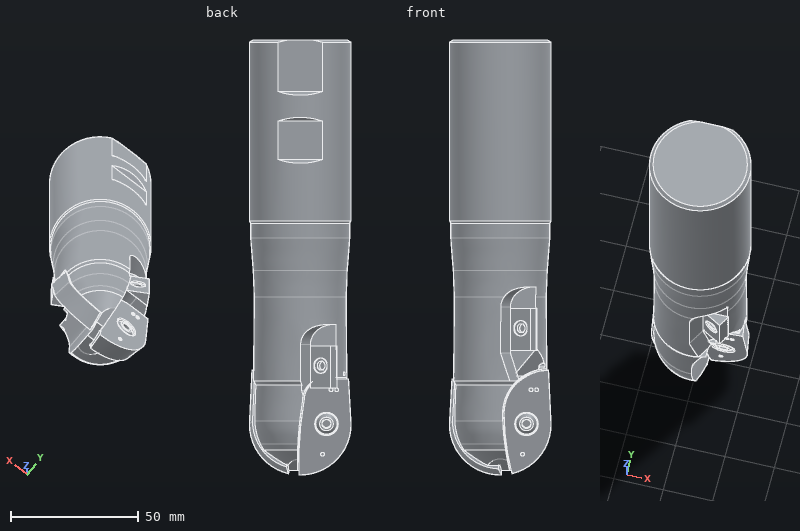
import cadquery as cq
import math


total_length = 170.98
shank_radius = 39.99 / 2
shank_end_radius = 37 / 2
shank_end_chamfer = 1.0
collar_radius = 39 / 2
shank_bottom_z = 99.9
collar_top_z = 98.9
collar_bottom_z = 93.2
taper_z = 80.3
taper_radius = 18.5
waist_z = 70.0
waist_radius = 18.1
neck_bottom_z = 37.0
neck_radius = 18.4
step_z = 35.5
step_radius = 17.5
nose_radius = 18.3
nose_top_z = 21.3
nose_side_arc_radius = 25.0
nose_side_bottom_z = 12.3
nose_cone_top_z = 9.9
nose_cone_top_radius = 15.5
nose_flat_radius = 6.0
nose_flat_z = 1.8
nose_relief_angle = 29.5
nose_relief_start_y = 3.3

flat_y = 18.0
flat_ramp = 1.5
end_flat_bottom_z = 150.7
lower_flat_top_z = 139.0
lower_flat_bottom_z = 124.0

cutting_radius = shank_radius
rake_angle = 9.0
rake_offset_y = 0.5
insert_thickness = 7.8
insert_relief = 9.0
insert_inner_x = 1.5
insert_inner_bulge = 0.7
insert_top_outer_x = 19.0
seat_clearance = 0.6
outer_insert = {"tip_x": 4.6, "top_z": 41.2, "arc_start_z": 24.0}
center_insert = {"tip_x": -0.5, "top_z": 37.8, "arc_start_z": 29.3}
mark_diameter = 1.5
mark_depth = 0.3
mark_places = [(8.75, 8.2), (12.1, 33.5), (14.3, 33.5)]

screw_x = 10.3
screw_z = 20.1
head_diameter = 8.45
head_top_diameter = 5.35
head_rim_depth = 1.2
head_depth = 4.0
screw_diameter = 6.0
screw_length = 15.0
socket_diameter = 3.5
socket_depth = 2.0
hole_chamfer = 0.4

pocket_floor_y = -11.6
pocket_lean = 30.0
pocket_wall_x = 4.0
pocket_top_z = 73.9
pocket_arc_bottom_z = 66.0
pocket_wall_bottom_z = 48.0
pocket_bottom_z = 37.0
pocket_bottom_shift = 3.0
center_pocket_drop = 14.7
wedge_outer_x = 11.8
wedge_bottom_z = 48.9
wedge_top_z = 65.4
wedge_hole_z = 57.7
wedge_recess_diameter = 6.0
wedge_recess_depth = 0.6
wedge_hole_diameter = 3.5
wedge_hole_depth = 2.5

runout_floor_line = [(5.2, 39.0), (13.9, 49.4)]
runout_inner_y = -6.4
runout_shift_x = 7.5

coolant_diameter = 1.5
coolant_depth = 4.0
coolant_y = -6.2
coolant_above_insert = 2.0

beyond = 30.0

rake_cos = math.cos(math.radians(rake_angle))
rake_sin = math.sin(math.radians(rake_angle))
rake_plane = cq.Plane(
    origin=(0, -rake_offset_y, 0), xDir=(1, 0, 0), normal=(0, -rake_cos, -rake_sin)
)


def ball_z(x):
    return cutting_radius - math.sqrt(cutting_radius**2 - x**2)


def insert_outline(plane, tip_x, top_z, arc_start_z, stretch=1.0):
    """Leaf outline; stretch lengthens the heights for drawing on the leaning rake plane."""
    inner_radius = top_z - arc_start_z
    arc_end_x = insert_inner_x + inner_radius
    arc_mid_x = arc_end_x - inner_radius * math.cos(math.pi / 4)
    arc_mid_z = arc_start_z + inner_radius * math.sin(math.pi / 4)
    inner_mid_x = (tip_x + insert_inner_x) / 2 - insert_inner_bulge
    inner_mid_z = (ball_z(tip_x) + arc_start_z) / 2
    ball_mid_x = cutting_radius * math.sin(math.pi / 4)

    def at(x, z):
        return (x, z * stretch)

    return (
        cq.Workplane(plane)
        .moveTo(*at(tip_x, ball_z(tip_x)))
        .threePointArc(at(ball_mid_x, ball_z(ball_mid_x)), at(cutting_radius, cutting_radius))
        .lineTo(*at(insert_top_outer_x, top_z))
        .lineTo(*at(arc_end_x, top_z))
        .threePointArc(at(arc_mid_x, arc_mid_z), at(insert_inner_x, arc_start_z))
        .threePointArc(at(inner_mid_x, inner_mid_z), at(tip_x, ball_z(tip_x)))
        .close()
    )


def insert_blank(sizes, clearance=0.0):
    outline = insert_outline(rake_plane, **sizes, stretch=1 / rake_cos)
    if clearance:
        outline = outline.offset2D(clearance)
    return outline.extrude(-insert_thickness, taper=insert_relief)


def screw_plane():
    return cq.Workplane(rake_plane).center(screw_x, screw_z / rake_cos)


def screw_envelope():
    head = screw_plane().circle(head_diameter / 2).extrude(-head_depth)
    shaft = screw_plane().circle(screw_diameter / 2).extrude(-screw_length)
    return head.union(shaft)


def make_insert(sizes):
    body = insert_blank(sizes).cut(screw_envelope())
    countersink = (
        screw_plane()
        .circle(head_diameter / 2 + hole_chamfer)
        .workplane(offset=-hole_chamfer)
        .circle(head_diameter / 2)
        .loft()
    )
    marks = (
        cq.Workplane(rake_plane)
        .pushPoints([(x, z / rake_cos) for x, z in mark_places])
        .circle(mark_diameter / 2)
        .extrude(-mark_depth)
    )
    return body.cut(countersink).cut(marks)


def make_screw():
    """Screw with a conical head top and a plain round socket."""
    profile = (
        cq.Workplane("XZ")
        .polyline(
            [
                (0, -socket_depth),
                (socket_diameter / 2, -socket_depth),
                (socket_diameter / 2, 0),
                (head_top_diameter / 2, 0),
                (head_diameter / 2, -head_rim_depth),
                (head_diameter / 2, -head_depth),
                (screw_diameter / 2, -head_depth),
                (screw_diameter / 2, -screw_length),
                (0, -screw_length),
            ]
        )
        .close()
        .revolve(360, (0, 0, 0), (0, 1, 0))
    )
    return cq.Workplane(profile.val().moved(cq.Location(screw_plane().plane)))


def turned_holder():
    side_arc_center_x = nose_radius - nose_side_arc_radius

    def nose_side_point(z):
        return (side_arc_center_x + math.sqrt(nose_side_arc_radius**2 - (nose_top_z - z) ** 2), z)

    side_arc_middle_z = (nose_top_z + nose_side_bottom_z) / 2
    return (
        cq.Workplane("XZ")
        .moveTo(0, total_length)
        .lineTo(shank_end_radius, total_length)
        .lineTo(shank_radius, total_length - shank_end_chamfer)
        .lineTo(shank_radius, shank_bottom_z)
        .lineTo(collar_radius, collar_top_z)
        .lineTo(collar_radius, collar_bottom_z)
        .lineTo(taper_radius, taper_z)
        .lineTo(waist_radius, waist_z)
        .lineTo(neck_radius, neck_bottom_z)
        .lineTo(step_radius, step_z)
        .lineTo(nose_radius, nose_top_z)
        .threePointArc(nose_side_point(side_arc_middle_z), nose_side_point(nose_side_bottom_z))
        .lineTo(nose_cone_top_radius, nose_cone_top_z)
        .lineTo(nose_flat_radius, nose_flat_z)
        .lineTo(0, nose_flat_z)
        .close()
        .revolve(360, (0, 0, 0), (0, 1, 0))
    )


def clamping_flat(bottom_z, top_z, top_ramp):
    return (
        cq.Workplane("YZ")
        .polyline(
            [
                (flat_y, bottom_z),
                (flat_y, top_z),
                (shank_radius, top_z + top_ramp),
                (shank_radius, bottom_z - flat_ramp),
            ]
        )
        .close()
        .extrude(shank_radius, both=True)
    )


def nose_relief():
    """Flat relief on the -Y half of the ball nose."""
    rise = beyond * math.tan(math.radians(nose_relief_angle))
    return (
        cq.Workplane("YZ")
        .polyline(
            [
                (-nose_relief_start_y, nose_flat_z),
                (-nose_relief_start_y - beyond, nose_flat_z + rise),
                (-nose_relief_start_y - beyond, nose_flat_z),
            ]
        )
        .close()
        .extrude(beyond, both=True)
    )


def insert_seat(sizes):
    """Tapered seat below the rake face and the open space in front of it."""
    seat = insert_blank(sizes, seat_clearance)
    front_plane = cq.Plane(origin=(0, -rake_offset_y, 0), xDir=(1, 0, 0), normal=(0, -1, 0))
    front = insert_outline(front_plane, **sizes).offset2D(seat_clearance).extrude(beyond)
    return seat.union(front)


def leaning_plane(origin):
    """Plane whose normal points outward and leans from -Y toward -X."""
    lean = math.radians(pocket_lean)
    return cq.Plane(
        origin=origin,
        xDir=(math.cos(lean), -math.sin(lean), 0),
        normal=(-math.sin(lean), -math.cos(lean), 0),
    )


def side_pocket():
    """Pocket whose wall leans outward toward -X, above a flat floor."""
    arc_radius = pocket_top_z - pocket_arc_bottom_z
    arc_mid = arc_radius * (1 - math.cos(math.pi / 4))
    prism = (
        cq.Workplane(leaning_plane((pocket_wall_x, pocket_floor_y, 0)))
        .moveTo(0, pocket_arc_bottom_z)
        .threePointArc((arc_mid, pocket_top_z - arc_mid), (arc_radius, pocket_top_z))
        .lineTo(beyond, pocket_top_z)
        .lineTo(beyond, pocket_bottom_z)
        .lineTo(pocket_bottom_shift, pocket_bottom_z)
        .lineTo(0, pocket_wall_bottom_z)
        .close()
        .extrude(beyond, both=True)
    )
    above_floor = (
        cq.Workplane("XZ", origin=(0, pocket_floor_y, 0))
        .rect(4 * beyond, 2 * total_length)
        .extrude(beyond)
    )
    return prism.intersect(above_floor)


def chip_runout():
    """Sloping face from the pocket floor down to the rake face."""
    (low_x, low_z), (high_x, high_z) = runout_floor_line

    def section(plane_y, shift):
        return cq.Wire.makePolygon(
            [
                cq.Vector(low_x + shift, plane_y, low_z),
                cq.Vector(high_x + shift, plane_y, high_z),
                cq.Vector(high_x + shift + beyond, plane_y, high_z),
                cq.Vector(high_x + shift + beyond, plane_y, low_z),
            ],
            close=True,
        )

    floor_section = section(pocket_floor_y, 0)
    inner_section = section(runout_inner_y, runout_shift_x)
    return cq.Workplane(cq.Solid.makeLoft([floor_section, inner_section], True))


wedge_width = wedge_outer_x - pocket_wall_x
wedge_height = wedge_width * math.tan(math.radians(pocket_lean))


def raised_wedge():
    """Three-sided block on the pocket floor; its outer side is square to its leaning face."""
    side_run = wedge_height * math.tan(math.radians(pocket_lean))
    return (
        cq.Workplane("XY", origin=(0, 0, wedge_bottom_z))
        .polyline(
            [
                (pocket_wall_x, pocket_floor_y),
                (wedge_outer_x + side_run, pocket_floor_y),
                (wedge_outer_x, pocket_floor_y - wedge_height),
            ]
        )
        .close()
        .extrude(wedge_top_z - wedge_bottom_z)
    )


def wedge_recess():
    """Stepped round recess in the middle of the wedge's leaning face."""
    face_middle_x = pocket_wall_x + wedge_width / 2
    face_middle_y = pocket_floor_y - wedge_height / 2
    face = leaning_plane((face_middle_x, face_middle_y, wedge_hole_z))
    recess = cq.Workplane(face).circle(wedge_recess_diameter / 2).extrude(-wedge_recess_depth)
    hole = cq.Workplane(face).circle(wedge_hole_diameter / 2).extrude(-wedge_hole_depth)
    return recess.union(hole)


def coolant_hole(sizes):
    surface_x = math.sqrt(neck_radius**2 - coolant_y**2)
    return (
        cq.Workplane("YZ", origin=(surface_x - coolant_depth, 0, 0))
        .center(coolant_y, sizes["top_z"] + coolant_above_insert)
        .circle(coolant_diameter / 2)
        .extrude(beyond)
    )


def turned_over(body):
    return body.rotate((0, 0, 0), (0, 0, 1), 180)


def unturned(body):
    return body


def lowered(body):
    return body.translate((0, 0, -center_pocket_drop))


def lowered_and_turned(body):
    return turned_over(lowered(body))


sides = [
    (outer_insert, unturned, unturned),
    (center_insert, turned_over, lowered_and_turned),
]

holder = turned_holder()
holder = holder.cut(clamping_flat(end_flat_bottom_z, total_length, 0))
holder = holder.cut(clamping_flat(lower_flat_bottom_z, lower_flat_top_z, flat_ramp))

holder = holder.cut(chip_runout())

cutting_bodies = []
for sizes, place, place_pocket in sides:
    for cutter in [nose_relief(), insert_seat(sizes), screw_envelope(), coolant_hole(sizes)]:
        holder = holder.cut(place(cutter))
    holder = holder.cut(place_pocket(side_pocket()))
    holder = holder.union(place_pocket(raised_wedge())).cut(place_pocket(wedge_recess()))
    cutting_bodies.append(place(make_insert(sizes)).val())
    cutting_bodies.append(place(make_screw()).val())

result = cq.Compound.makeCompound([*holder.vals(), *cutting_bodies])